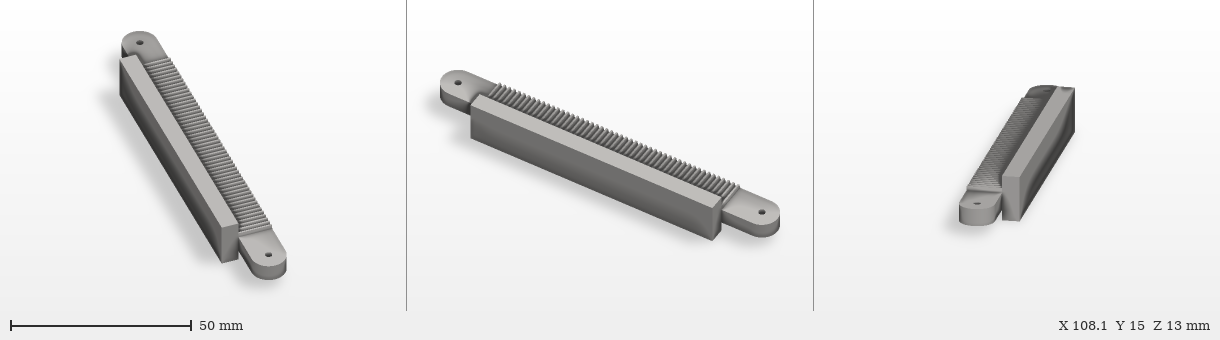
import cadquery as cq
import math

overall_length = 108.1
overall_depth = 15.0
bar_height = 13.0

plate_width = 10.0
plate_thickness = 5.0
plate_bottom = 3.0
tab_length = 15.0
hole_diameter = 2.0

bar_thickness = overall_depth - plate_width
rack_length = overall_length - 2 * tab_length

tooth_count = 50
pressure_angle = math.radians(14.5)
addendum_factor = 1.0
dedendum_factor = 1.25

root_gap_per_pitch = 0.5 - 2 * dedendum_factor * math.tan(pressure_angle) / math.pi
pitch = rack_length / (tooth_count - root_gap_per_pitch)
module = pitch / math.pi
tooth_height = (addendum_factor + dedendum_factor) * module
tooth_base = pitch * (1 - root_gap_per_pitch)
flank_run = tooth_height * math.tan(pressure_angle)

plate_top = plate_bottom + plate_thickness
plate_front = -plate_width / 2
hole_spacing = overall_length - plate_width


def make_plate():
    """Flat plate with fully rounded ends."""
    return (
        cq.Workplane("XY", origin=(0, 0, plate_bottom))
        .slot2D(overall_length, plate_width)
        .extrude(plate_thickness)
    )


def make_bar():
    """Upright bar along the front edge of the plate."""
    return cq.Workplane("XY", origin=(0, plate_front - bar_thickness / 2, 0)).box(
        rack_length, bar_thickness, bar_height, centered=(True, True, False)
    )


def make_rack():
    """Row of trapezoidal teeth on the plate, joined by a thin backing sunk into the plate."""
    left_end = -rack_length / 2
    backing_bottom = plate_top - plate_thickness / 2
    points = [(left_end, backing_bottom)]
    for index in range(tooth_count):
        start = left_end + index * pitch
        end = start + tooth_base
        points += [
            (start, plate_top),
            (start + flank_run, plate_top + tooth_height),
            (end - flank_run, plate_top + tooth_height),
            (end, plate_top),
        ]
    points.append((-left_end, backing_bottom))
    return (
        cq.Workplane("XZ", origin=(0, plate_front, 0))
        .polyline(points)
        .close()
        .extrude(-plate_width)
    )


def make_holes():
    """Through holes concentric with the rounded ends."""
    return (
        cq.Workplane("XY", origin=(0, 0, plate_bottom))
        .pushPoints([(-hole_spacing / 2, 0), (hole_spacing / 2, 0)])
        .circle(hole_diameter / 2)
        .extrude(plate_thickness)
    )


result = make_plate().union(make_bar()).union(make_rack()).cut(make_holes())